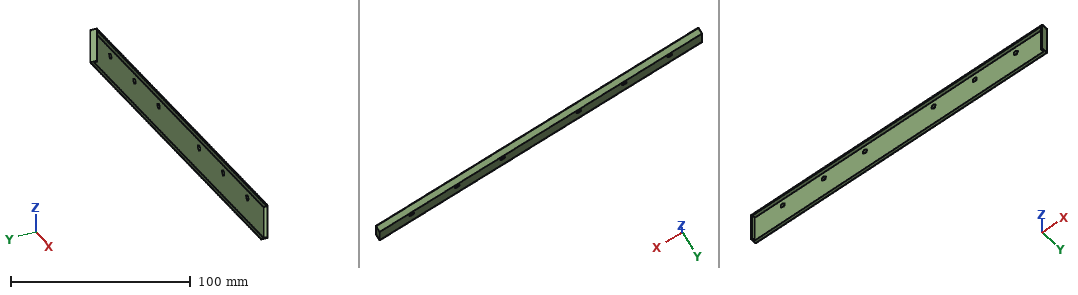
import cadquery as cq

length = 212.0
depth = 4.0
height = 21.0

rim_width = 1.0
recess_depth = 2.1

hole_diameter = 3.0
hole_drop = 6.0
first_hole_offset = 25.0
hole_pitch = 29.9
holes_per_side = 3


def make_recess():
    """Shallow pocket in the front (-Y) face, open at the bottom edge."""
    return cq.Workplane("XY").box(
        length - 2 * rim_width, recess_depth, height - rim_width, centered=(True, False, False)
    )


def make_holes():
    """Cylinders running along Y for the row of holes below the top edge."""
    offsets = [first_hole_offset + i * hole_pitch for i in range(holes_per_side)]
    centers = [(side * x, height - hole_drop) for side in (-1, 1) for x in offsets]
    return cq.Workplane("XZ").pushPoints(centers).circle(hole_diameter / 2).extrude(-depth)


plate = cq.Workplane("XY").box(length, depth, height, centered=(True, False, False))
result = plate.cut(make_recess()).cut(make_holes())